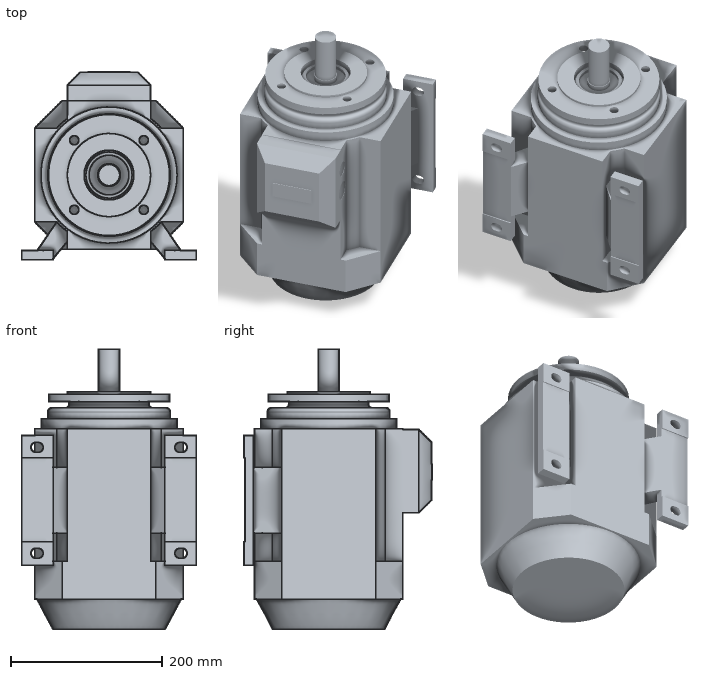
import cadquery as cq
import math


SHAFT_DIAMETER = 28.0
SHAFT_LENGTH = 60.0
SHOULDER_DIAMETER = 30.0

OVERALL_LENGTH = 370.5
COWL_END_Z = SHAFT_LENGTH - OVERALL_LENGTH

FLANGE_DIAMETER = 160.0
SPIGOT_DIAMETER = 110.0
SPIGOT_FACE_Z = 3.6
FLANGE_FACE_Z = 0.5
FLANGE_BACK_Z = -9.6
NECK_DIAMETER = 106.0
NECK_END_Z = -13.5
NECK_FILLET = 4.0
SHIELD_FACE_Z = NECK_END_Z - NECK_FILLET
SHIELD_DIAMETER = 162.0
SHIELD_FILLET = 5.7
RIM_FACE_Z = -31.9
RIM_DIAMETER = 180.0
BOLT_CIRCLE = 130.0
BOLT_HOLE_DIAMETER = 12.0
BOLT_HOLE_COUNT = 4

RECESS_DIAMETER = 66.0
RECESS_FLOOR_Z = -6.9
SEAL_OUTER_DIAMETER = 61.0
SEAL_INNER_DIAMETER = 52.6
SEAL_FACE_Z = -2.2

BODY_TOP_Z = -45.3
BODY_BOTTOM_Z = -270.7
BODY_WIDTH = 196.5
BODY_FLAT = 124.0
NOTCH_LENGTH = 175.2
NOTCH_HALF_X = 55.0
NOTCH_HALF_Y = 62.0
NOTCH_ROOT_RADIUS = 92.8

COWL_TOP_RADIUS = 95.2
COWL_END_RADIUS = 74.0

SHAFT_HEIGHT = 112.0
FEET_WIDTH = 231.0
FOOT_CENTRE_Z = -140.0
FOOT_LENGTH = 172.0
FOOT_WIDTH = 41.5
FOOT_THICKNESS = 12.5
FOOT_RELIEF = 1.4
UPPER_PAD_LENGTH = 30.0
LOWER_PAD_LENGTH = 31.5
FOOT_SLOT_SPACING_X = 190.0
FOOT_HOLE_SPACING_Z = 140.0
SLOT_LENGTH = 16.0
SLOT_WIDTH = 13.0
LEG_LENGTH = 87.0
LEG_OUTER_FOOT_X = 94.8
LEG_INNER_NOTCH_Y = -87.8
LEG_INNER_FOOT_Y = -110.8

BOX_TOP_Z = -46.1
BOX_LENGTH = 110.5
BOX_WALL_Y = 119.0
BOX_BEVEL = 17.0
PLATE_WIDTH = 54.5
PLATE_LENGTH = 21.0
PLATE_THICKNESS = 0.75
PLATE_CENTRE_Z = -102.6
KNOCKOUT_Y = 92.3
KNOCKOUT_DEPTH = 0.5
KNOCKOUTS = [(-79.7, 20.4), (-114.0, 25.2)]

OVERALL_DEPTH = 248.75
PLATE_FACE_Y = OVERALL_DEPTH - SHAFT_HEIGHT
BOX_LID_Y = PLATE_FACE_Y - PLATE_THICKNESS


def block(x_range, y_range, z_range):
    """Axis-aligned box between the given pairs of limits."""
    size = [high - low for low, high in (x_range, y_range, z_range)]
    corner = (x_range[0], y_range[0], z_range[0])
    return cq.Workplane("XY").box(*size, centered=False).translate(corner)


def disc(diameter, bottom_z, top_z):
    """Round disc on the shaft axis."""
    return cq.Workplane("XY").workplane(offset=bottom_z).circle(diameter / 2).extrude(top_z - bottom_z)


def both_sides(shape):
    """The shape together with its mirror image across the YZ plane."""
    return shape.union(shape.mirror("YZ"))


def make_body():
    """Square housing with bevelled edges, each edge notched over most of its length."""
    half = BODY_WIDTH / 2
    bevel = (BODY_WIDTH - BODY_FLAT) / 2
    body = block((-half, half), (-half, half), (BODY_BOTTOM_Z, BODY_TOP_Z)).edges("|Z").chamfer(bevel)

    notch_z = (BODY_TOP_Z - NOTCH_LENGTH, BODY_TOP_Z)
    corner = block((NOTCH_HALF_X, half), (NOTCH_HALF_Y, half), notch_z)
    notch = both_sides(corner.cut(disc(2 * NOTCH_ROOT_RADIUS, *notch_z)))
    return body.cut(notch).cut(notch.mirror("XZ"))


def make_cowl():
    """Fan cowl tapering away from the housing."""
    return (
        cq.Workplane("XZ")
        .moveTo(0, BODY_BOTTOM_Z)
        .lineTo(COWL_TOP_RADIUS, BODY_BOTTOM_Z)
        .lineTo(COWL_END_RADIUS, COWL_END_Z)
        .lineTo(0, COWL_END_Z)
        .close()
        .revolve(360, (0, 0, 0), (0, 1, 0))
    )


def make_end_shield():
    """Rim, rounded shield, necked flange and spigot, revolved about the shaft axis."""
    neck_radius = NECK_DIAMETER / 2
    shield_radius = SHIELD_DIAMETER / 2
    diagonal = math.sqrt(0.5)
    neck_arc_mid = (
        neck_radius + NECK_FILLET * (1 - diagonal),
        NECK_END_Z - NECK_FILLET * diagonal,
    )
    shield_arc_mid = (
        shield_radius - SHIELD_FILLET * (1 - diagonal),
        SHIELD_FACE_Z - SHIELD_FILLET * (1 - diagonal),
    )
    shield = (
        cq.Workplane("XZ")
        .moveTo(0, SPIGOT_FACE_Z)
        .lineTo(SPIGOT_DIAMETER / 2, SPIGOT_FACE_Z)
        .lineTo(SPIGOT_DIAMETER / 2, FLANGE_FACE_Z)
        .lineTo(FLANGE_DIAMETER / 2, FLANGE_FACE_Z)
        .lineTo(FLANGE_DIAMETER / 2, FLANGE_BACK_Z)
        .lineTo(neck_radius, FLANGE_BACK_Z)
        .lineTo(neck_radius, NECK_END_Z)
        .threePointArc(neck_arc_mid, (neck_radius + NECK_FILLET, SHIELD_FACE_Z))
        .lineTo(shield_radius - SHIELD_FILLET, SHIELD_FACE_Z)
        .threePointArc(shield_arc_mid, (shield_radius, SHIELD_FACE_Z - SHIELD_FILLET))
        .lineTo(shield_radius, RIM_FACE_Z)
        .lineTo(RIM_DIAMETER / 2, RIM_FACE_Z)
        .lineTo(RIM_DIAMETER / 2, BODY_TOP_Z)
        .lineTo(0, BODY_TOP_Z)
        .close()
        .revolve(360, (0, 0, 0), (0, 1, 0))
    )
    bolt_holes = (
        cq.Workplane("XY")
        .workplane(offset=FLANGE_BACK_Z)
        .polarArray(BOLT_CIRCLE / 2, 180 / BOLT_HOLE_COUNT, 360, BOLT_HOLE_COUNT)
        .circle(BOLT_HOLE_DIAMETER / 2)
        .extrude(FLANGE_FACE_Z - FLANGE_BACK_Z)
    )
    return shield.cut(bolt_holes).cut(make_shaft_recess())


def make_shaft_recess():
    """Round recess around the shaft, less the seal ring that stays standing in it."""
    recess = disc(RECESS_DIAMETER, RECESS_FLOOR_Z, SPIGOT_FACE_Z)
    seal = disc(SEAL_OUTER_DIAMETER, RECESS_FLOOR_Z, SEAL_FACE_Z)
    seal_bore = disc(SEAL_INNER_DIAMETER, RECESS_FLOOR_Z, SEAL_FACE_Z)
    return recess.cut(seal.cut(seal_bore))


def make_shaft():
    """Output shaft with its slightly larger shoulder standing on the recess floor."""
    shoulder = disc(SHOULDER_DIAMETER, RECESS_FLOOR_Z, 0)
    return shoulder.union(disc(SHAFT_DIAMETER, 0, SHAFT_LENGTH))


def make_foot():
    """Foot bar on the +X side with two raised slotted pads and a leg up to the housing notch."""
    outer_x = FEET_WIDTH / 2
    bar_x = (outer_x - FOOT_WIDTH, outer_x)
    top_y = FOOT_THICKNESS - SHAFT_HEIGHT
    bar_z = (FOOT_CENTRE_Z - FOOT_LENGTH / 2, FOOT_CENTRE_Z + FOOT_LENGTH / 2)
    relief_z = (bar_z[0] + LOWER_PAD_LENGTH, bar_z[1] - UPPER_PAD_LENGTH)

    bar = block(bar_x, (-SHAFT_HEIGHT, top_y), bar_z)
    relief = block(bar_x, (-SHAFT_HEIGHT, FOOT_RELIEF - SHAFT_HEIGHT), relief_z)
    slots = (
        cq.Workplane("XZ", origin=(FOOT_SLOT_SPACING_X / 2, top_y, FOOT_CENTRE_Z))
        .rarray(1, FOOT_HOLE_SPACING_Z, 1, 2)
        .slot2D(SLOT_LENGTH, SLOT_WIDTH)
        .extrude(FOOT_THICKNESS)
    )

    root_x = math.sqrt(NOTCH_ROOT_RADIUS**2 - NOTCH_HALF_Y**2)
    leg = (
        cq.Workplane("XY")
        .workplane(offset=FOOT_CENTRE_Z - LEG_LENGTH / 2)
        .moveTo(root_x, -NOTCH_HALF_Y)
        .lineTo(LEG_OUTER_FOOT_X, top_y)
        .lineTo(bar_x[0], top_y)
        .lineTo(bar_x[0], LEG_INNER_FOOT_Y)
        .lineTo(NOTCH_HALF_X, LEG_INNER_NOTCH_Y)
        .lineTo(NOTCH_HALF_X, -NOTCH_HALF_Y)
        .close()
        .extrude(LEG_LENGTH)
    )
    return bar.cut(relief).cut(slots).union(leg)


def make_terminal_box():
    """Bevelled terminal box with a nameplate on the lid and two knockouts in the -X wall."""
    half_x = NOTCH_HALF_X
    box_z = (BOX_TOP_Z - BOX_LENGTH, BOX_TOP_Z)
    box = block((-half_x, half_x), (NOTCH_HALF_Y, BOX_LID_Y), box_z)
    box = box.faces(">Y").chamfer(BOX_LID_Y - BOX_WALL_Y, BOX_BEVEL)

    plate_z = (PLATE_CENTRE_Z - PLATE_LENGTH / 2, PLATE_CENTRE_Z + PLATE_LENGTH / 2)
    plate = block((-PLATE_WIDTH / 2, PLATE_WIDTH / 2), (BOX_LID_Y, PLATE_FACE_Y), plate_z)
    return box.union(plate)


def make_knockouts():
    """Shallow round recesses for the cable entries."""
    wall = cq.Workplane("YZ", origin=(-NOTCH_HALF_X, KNOCKOUT_Y, 0))
    knockouts = cq.Workplane("YZ")
    for centre_z, diameter in KNOCKOUTS:
        knockouts = knockouts.union(wall.center(0, centre_z).circle(diameter / 2).extrude(KNOCKOUT_DEPTH))
    return knockouts


result = (
    make_body()
    .union(make_cowl())
    .union(make_end_shield())
    .union(make_shaft())
    .union(both_sides(make_foot()))
    .union(make_terminal_box())
    .cut(make_knockouts())
)